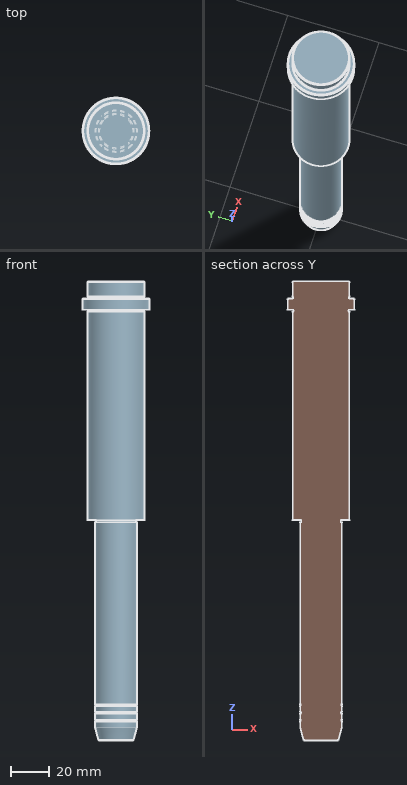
import cadquery as cq
import math

total_length = 240.0

flange_diameter = 35.0
body_diameter = 30.0
pin_diameter = 22.0

head_length = 8.0
flange_thickness = 6.0
body_end_depth = 124.8
tip_length = 7.0
tip_angle = 15.0

head_chamfer = 0.5
flange_chamfer = 0.5
tip_chamfer = 0.5

groove_width = 1.0
groove_depth = 0.5
ring_count = 3

land_length = 3 * groove_width
ring_pitch = land_length + groove_width

flange_top = total_length - head_length - groove_width
flange_bottom = flange_top - flange_thickness
body_bottom = total_length - body_end_depth
first_ring_bottom = tip_length + land_length


def cylinder(diameter, bottom, top):
    """Solid cylinder on the Z axis between two levels."""
    return cq.Workplane("XY").workplane(offset=bottom).circle(diameter / 2).extrude(top - bottom)


def vee_groove(diameter, bottom):
    """V-shaped ring to remove from a shaft of the given diameter."""
    radius = diameter / 2
    middle = bottom + groove_width / 2
    top = bottom + groove_width
    return (
        cq.Workplane("XZ")
        .polyline([(radius, bottom), (radius - groove_depth, middle), (radius, top)])
        .close()
        .revolve(360, (0, 0), (0, 1))
    )


def make_tip():
    """Tapered pin end with a small chamfer on its lower rim."""
    pin_radius = pin_diameter / 2
    tip_radius = pin_radius - tip_length * math.tan(math.radians(tip_angle))
    cone = (
        cq.Workplane("XZ")
        .polyline([(0, 0), (tip_radius, 0), (pin_radius, tip_length), (0, tip_length)])
        .close()
        .revolve(360, (0, 0), (0, 1))
    )
    return cone.faces("<Z").chamfer(tip_chamfer)


def make_pin():
    """Slender pin with oil grooves near the tip and a narrow neck below the body."""
    neck_bottom = body_bottom - groove_width
    pin = cylinder(pin_diameter, tip_length, neck_bottom).union(make_tip())
    for index in range(ring_count):
        pin = pin.cut(vee_groove(pin_diameter, first_ring_bottom + index * ring_pitch))
    return pin.union(cylinder(pin_diameter - 2 * groove_depth, neck_bottom, body_bottom))


def make_body():
    """Thick body and head, with a V-shaped groove on each side of the flange."""
    body = cylinder(body_diameter, body_bottom, total_length).faces(">Z").chamfer(head_chamfer)
    body = body.cut(vee_groove(body_diameter, flange_top))
    return body.cut(vee_groove(body_diameter, flange_bottom - groove_width))


def make_flange():
    """Locating flange with a chamfered upper rim."""
    return cylinder(flange_diameter, flange_bottom, flange_top).faces(">Z").chamfer(flange_chamfer)


result = make_body().union(make_flange()).union(make_pin())